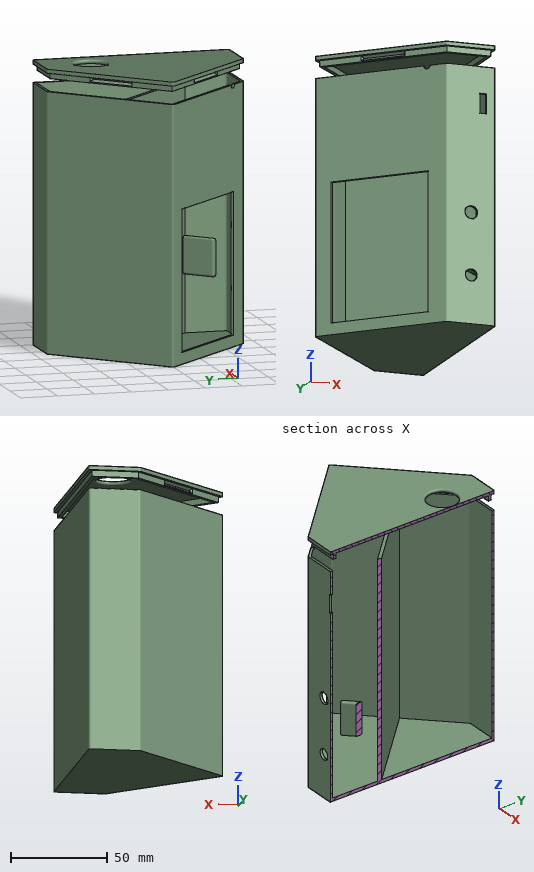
import cadquery as cq
import math

DEPTH = 79.9
WIDTH = 106.3
TOTAL_HEIGHT = 151.0
EDGE_RADIUS = 1.0
NOSE_SHARP_X = -EDGE_RADIUS * (math.sqrt(2) - 1)

HOUSING_HEIGHT = 139.0
WALL = 1.5
CUT_THROUGH = 3 * WALL
FLOOR = 2.3

LID_PLATE = 2.1
SKIRT_DEPTH = 3.2
SKIRT_INSET = 1.8
SKIRT_WALL = 2.0
LID_HOLE_X, LID_HOLE_Y = 62.5, 26.6
LID_HOLE_DIAMETER = 18.0
LID_HOLE_RIM_RADIUS = 0.98
GROOVE_LENGTH = 25.0
GROOVE_HEIGHT = 2.5

PARTITION_OFFSET = 35.3
PARTITION_THICKNESS = 2.0
PARTITION_TOP = HOUSING_HEIGHT - SKIRT_DEPTH

WINDOW_CENTER_X = 25.7
WINDOW_WIDTH = 55.3
WINDOW_BOTTOM = 6.3
WINDOW_HEIGHT = 76.0

TAB_START = 74.3
TAB_THICKNESS = 3.0
TAB_LENGTH = 18.1
TAB_BOTTOM = 33.7
TAB_HEIGHT = 20.2
TAB_ROOT = 0.6

FLANK_HOLES = [(60.1, 7.0), (26.3, 6.5)]
FLANK_HOLE_X = 66.5
SLOT_X, SLOT_Z = 73.1, 119.3
SLOT_WIDTH, SLOT_HEIGHT = 3.8, 10.7

NOTCH_ALONG = 63.9
NOTCH_DIAMETER = 3.6

LID_BOTTOM = TOTAL_HEIGHT - LID_PLATE
FACE_LENGTH = math.sqrt(2) * WIDTH / 2


def footprint_prism(inset, bottom, height):
    """Prism of the five-sided footprint, moved inward on all sides."""
    nose_x = NOSE_SHARP_X + inset * math.sqrt(2)
    half_width = WIDTH / 2 - inset
    back_x = DEPTH - inset
    shoulder_x = nose_x + half_width
    return (
        cq.Workplane("XY", origin=(0, 0, bottom))
        .polyline([
            (back_x, -half_width),
            (shoulder_x, -half_width),
            (nose_x, 0),
            (shoulder_x, half_width),
            (back_x, half_width),
        ])
        .close()
        .extrude(height)
    )


def place_on_face(shape):
    """Turn a shape so its X runs along the -X -Y face from the sharp nose and its Y points inward."""
    return shape.rotate((0, 0, 0), (0, 0, 1), -45).translate((NOSE_SHARP_X, 0, 0))


def corner_box(x, x_size, y, y_size, z, z_size):
    """Box given by its lowest corner and its size in each direction."""
    return cq.Workplane("XY").box(x_size, y_size, z_size, centered=False).translate((x, y, z))


def make_partition():
    """Wall that runs across the whole cavity and ends inside the outer walls."""
    wall = corner_box(-FACE_LENGTH, 3 * FACE_LENGTH, PARTITION_OFFSET, PARTITION_THICKNESS, 0, PARTITION_TOP)
    return place_on_face(wall).intersect(footprint_prism(WALL / 2, 0, PARTITION_TOP))


def make_tab():
    """Upright tab with all edges rounded except those of its root."""
    tab = corner_box(
        TAB_START, TAB_THICKNESS,
        PARTITION_OFFSET - TAB_LENGTH, TAB_LENGTH + TAB_ROOT,
        TAB_BOTTOM, TAB_HEIGHT,
    )
    free_edges = tab.faces("<Y").edges().add(tab.edges("|Y"))
    return place_on_face(free_edges.fillet(EDGE_RADIUS))


def cut_flank_openings(body):
    flank = cq.Workplane("XZ", origin=(0, -WIDTH / 2 + 2 * WALL, 0))
    for height, diameter in FLANK_HOLES:
        body = body.cut(flank.center(FLANK_HOLE_X, height).circle(diameter / 2).extrude(CUT_THROUGH))
    return body.cut(flank.center(SLOT_X, SLOT_Z).rect(SLOT_WIDTH, SLOT_HEIGHT).extrude(CUT_THROUGH))


def cut_window(body):
    along_center = math.sqrt(2) * (WINDOW_CENTER_X - NOSE_SHARP_X)
    window = corner_box(
        along_center - WINDOW_WIDTH / 2, WINDOW_WIDTH,
        -WALL, CUT_THROUGH,
        WINDOW_BOTTOM, WINDOW_HEIGHT,
    )
    return body.cut(place_on_face(window))


def cut_cable_notch(body):
    bore = (
        cq.Workplane("XZ", origin=(NOTCH_ALONG, -WALL, HOUSING_HEIGHT))
        .circle(NOTCH_DIAMETER / 2)
        .extrude(-CUT_THROUGH)
    )
    return body.cut(place_on_face(bore))


def make_housing():
    outside = footprint_prism(0, 0, HOUSING_HEIGHT).edges("|Z").fillet(EDGE_RADIUS)
    cavity = footprint_prism(WALL, FLOOR, HOUSING_HEIGHT).edges("|Z").fillet(EDGE_RADIUS)
    body = outside.cut(cavity).union(make_partition()).union(make_tab())
    body = cut_window(body)
    body = cut_flank_openings(body)
    return cut_cable_notch(body)


def make_lid_plate():
    plate = footprint_prism(0, LID_BOTTOM, LID_PLATE).edges("|Z").fillet(EDGE_RADIUS)
    hole = (
        cq.Workplane("XY", origin=(LID_HOLE_X, LID_HOLE_Y, LID_BOTTOM))
        .circle(LID_HOLE_DIAMETER / 2)
        .extrude(LID_PLATE)
    )
    return plate.cut(hole).edges(cq.selectors.RadiusNthSelector(-1)).fillet(LID_HOLE_RIM_RADIUS)


def make_snap_groove():
    """V-shaped bar along the middle of the skirt's -X -Y face, with 45 degree sides and mitred ends."""
    skirt_face_length = math.sqrt(2) * (WIDTH / 2 - SKIRT_INSET)
    start = SKIRT_INSET + (skirt_face_length - GROOVE_LENGTH) / 2
    end = start + GROOVE_LENGTH
    depth = GROOVE_HEIGHT / 2
    bar = (
        cq.Workplane("YZ", origin=(start, SKIRT_INSET, LID_BOTTOM))
        .polyline([(0, 0), (depth, -depth), (0, -GROOVE_HEIGHT)])
        .close()
        .extrude(GROOVE_LENGTH)
    )
    mitre = (
        cq.Workplane("XY", origin=(0, SKIRT_INSET, LID_BOTTOM))
        .polyline([(start, 0), (end, 0), (end - depth, depth), (start + depth, depth)])
        .close()
        .extrude(-GROOVE_HEIGHT)
    )
    return place_on_face(bar.intersect(mitre))


def make_skirt():
    """Ring under the plate, with a snap groove in each 45 degree face."""
    skirt_bottom = LID_BOTTOM - SKIRT_DEPTH
    outside = footprint_prism(SKIRT_INSET, skirt_bottom, SKIRT_DEPTH)
    inside = footprint_prism(SKIRT_INSET + SKIRT_WALL, skirt_bottom, SKIRT_DEPTH)
    groove = make_snap_groove()
    return outside.cut(inside).cut(groove).cut(groove.mirror("XZ"))


def make_lid():
    return make_lid_plate().union(make_skirt())


housing = make_housing()
lid = make_lid()
result = cq.Compound.makeCompound([housing.val(), lid.val()])